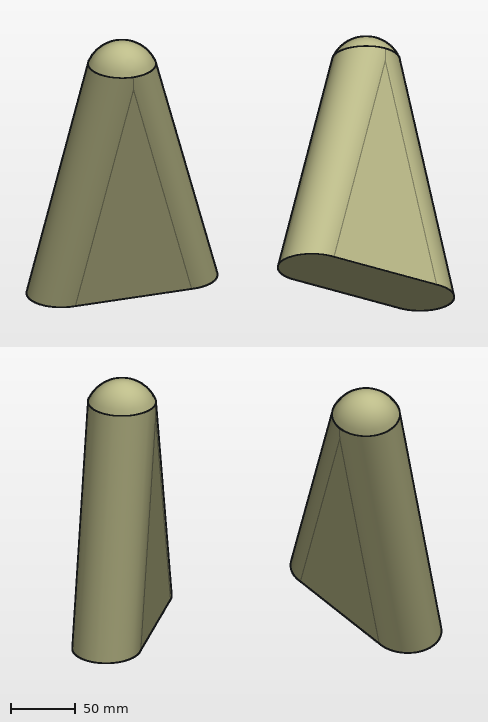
import cadquery as cq
import math

height = 205.0
leg_diameter = 53.0
base_length = 153.0
dome_height = 17.5
shoulder_length = 52.5
web_inset = 0.05

leg_radius = leg_diameter / 2
shoulder_radius = shoulder_length / 2
shoulder_height = height - dome_height
lean = math.atan((base_length - shoulder_length) / 2 / shoulder_height)
leg_offset = base_length / 2 - leg_radius / math.cos(lean)
web_apex_height = leg_offset / math.tan(lean)
web_thickness = leg_diameter - 2 * web_inset
dome_radius = (shoulder_radius**2 + dome_height**2) / (2 * dome_height)


def leaning_leg(side):
    """Round leg leaning towards the centre, overlong at both ends for trimming."""
    axis = cq.Vector(0, -side * math.sin(lean), math.cos(lean))
    foot = cq.Vector(0, side * leg_offset, 0)
    return cq.Workplane(
        cq.Solid.makeCylinder(leg_radius, 2 * height, foot - axis * (height / 2), axis)
    )


def web():
    """Triangular plate filling the space between the leg axes."""
    return (
        cq.Workplane("YZ")
        .polyline([(-leg_offset, 0), (leg_offset, 0), (0, web_apex_height)])
        .close()
        .extrude(web_thickness / 2, both=True)
    )


def trimmed_leg(side):
    """Leg kept on its own half and cut level at the ground and at the shoulder."""
    own_half = (
        cq.Workplane("XY")
        .center(0, side * base_length / 2)
        .rect(2 * leg_diameter, base_length)
        .extrude(shoulder_height)
    )
    return leaning_leg(side).intersect(own_half)


def dome():
    """Spherical cap standing on the level shoulder."""
    center_height = height - dome_radius
    mid_angle = math.atan2(shoulder_radius, shoulder_height - center_height) / 2
    mid_point = (
        dome_radius * math.sin(mid_angle),
        center_height + dome_radius * math.cos(mid_angle),
    )
    return (
        cq.Workplane("XZ")
        .moveTo(0, shoulder_height)
        .lineTo(shoulder_radius, shoulder_height)
        .threePointArc(mid_point, (0, height))
        .close()
        .revolve(360, (0, 0), (0, 1))
    )


result = trimmed_leg(-1).union(trimmed_leg(1)).union(web()).union(dome())